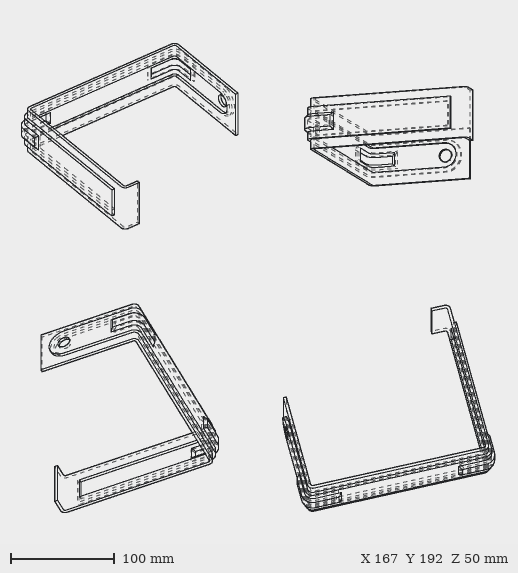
import cadquery as cq

length_x = 167.0
length_y = 192.0
height = 50.0

sheet = 3.0
strip_rise = 3.0
pad_rise = 2.9
pad_total_rise = strip_rise + pad_rise

web_x = pad_total_rise
half_width = length_y / 2 - web_x
bend_radius = 5.0
back_leg_end = 108.0
lip_length = 18.2
lip_top = lip_length - half_width

strip_height = 31.5
front_strip_end = 151.1
back_strip_end = 97.7
strip_wall = 3.6

pad_height = 17.0
pad_leg_reach = 31.9
pad_web_reach = 37.6
pad_wall = 2.0

hole_diameter = 12.5
hole_x = back_strip_end - strip_height / 2


def bar(x_start, x_end, y_start, y_end, bar_height):
    """Rectangular block centred on Z = 0."""
    block = cq.Workplane("XY").box(
        x_end - x_start, y_end - y_start, bar_height, centered=(False, False, True)
    )
    return block.translate((x_start, y_start, 0))


def envelope(rise, x_end):
    """Full-height block whose web and leg faces lie `rise` outside the sheet's outer face."""
    y_face = half_width + rise
    block = bar(web_x - rise, x_end, -y_face, y_face, height)
    return block.edges("|Z and <X").fillet(bend_radius + rise)


def sheet_envelope(rise, x_end):
    """Envelope that is also rounded where the front leg turns into the lip."""
    return envelope(rise, x_end).edges("|Z and >X and <Y").fillet(bend_radius + rise)


def strip_envelope(rise, inset):
    """Envelope cut to the strip's side outline, shrunk by `inset`; the back end is round."""
    outline_height = strip_height - 2 * inset
    front = bar(0, front_strip_end - inset, -length_y, 0, outline_height)
    back = bar(0, hole_x, 0, length_y, outline_height)
    round_end = (
        cq.Workplane("XZ").center(hole_x, 0).circle(outline_height / 2).extrude(-length_y)
    )
    return envelope(rise, length_x - sheet).intersect(front.union(back).union(round_end))


def pad_blocks(rise, inset):
    """Blocks at both corners, bevelled by the pad's rise around their outer faces."""
    x_face = web_x - rise
    y_face = half_width + rise
    x_end = pad_leg_reach - inset
    y_end = length_y / 2 - pad_web_reach + inset
    block = bar(x_face, x_end, y_end, y_face, pad_height - 2 * inset)
    block = block.edges("|Z and <X and >Y").fillet(bend_radius + rise)
    block = block.faces("<X or >Y").edges("|X or |Y or >X or <Y").chamfer(pad_rise)
    return block.union(block.mirror("XZ"))


def hole():
    return cq.Workplane("XZ").center(hole_x, 0).circle(hole_diameter / 2).extrude(-length_y)


outside = (
    sheet_envelope(0, length_x)
    .union(strip_envelope(strip_rise, 0))
    .union(pad_blocks(pad_total_rise, 0))
)
inside = (
    sheet_envelope(-sheet, length_x - sheet)
    .union(strip_envelope(strip_rise - sheet, strip_wall))
    .union(pad_blocks(pad_total_rise - sheet, pad_wall))
)
beyond_back_leg = bar(back_leg_end, length_x, lip_top, half_width, height)

result = outside.cut(inside).cut(beyond_back_leg).cut(hole())